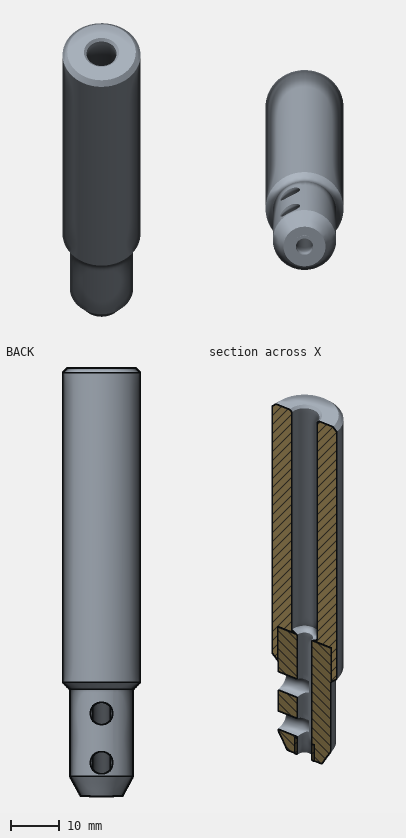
import cadquery as cq
import math

total_height = 88.0
shank_radius = 8.0
neck_radius = 6.5
top_chamfer = 1.0
neck_top = 22.0
taper_height = 4.1
tip_radius = 4.5
taper_bottom = 0.4
nose_bottom = 0.1
rim_chamfer = 0.2
shoulder_cone = shank_radius - neck_radius

socket_depth = 8.8
socket_top = neck_top + socket_depth

wide_bore_radius = 3.1
wide_bore_bottom = socket_top
narrow_bore_radius = 1.8
bore_chamfer = 0.5
drill_half_angle = math.radians(59)
drill_cone_height = (wide_bore_radius - narrow_bore_radius) / math.tan(drill_half_angle)

bush_radius = 2.4
bush_top = taper_height

side_hole_radius = 2.3
side_hole_heights = (6.95, 17.1)


def revolve_profile(points):
    """Revolve a closed outline of (radius, height) points about Z."""
    return cq.Workplane("XZ").polyline(points).close().revolve(360, (0, 0, 0), (0, 1, 0))


def make_axial_bore():
    """Through hole, widened from the top, with a drilled cone and a mouth chamfer."""
    return revolve_profile([
        (0, 0),
        (narrow_bore_radius, 0),
        (narrow_bore_radius, wide_bore_bottom),
        (wide_bore_radius, wide_bore_bottom + drill_cone_height),
        (wide_bore_radius, total_height - bore_chamfer),
        (wide_bore_radius + bore_chamfer, total_height),
        (0, total_height),
    ])


def make_shank():
    """Chamfered tube with a socket in its lower end for the nose."""
    outer = revolve_profile([
        (0, neck_top),
        (neck_radius, neck_top),
        (shank_radius, neck_top + shoulder_cone),
        (shank_radius, total_height - top_chamfer),
        (shank_radius - top_chamfer, total_height),
        (0, total_height),
    ])
    socket = cq.Workplane("XY").workplane(offset=neck_top).circle(neck_radius).extrude(socket_depth)
    return outer.cut(socket).cut(make_axial_bore())


def make_side_hole(height):
    """Radial hole from the +Y side of the neck into the axial bore."""
    start = cq.Vector(0, 0, height)
    outward = cq.Vector(0, 1, 0)
    return cq.Workplane(cq.Solid.makeCylinder(side_hole_radius, shank_radius, start, outward))


def make_nose():
    """Tapered nose that fills the socket, with the axial bore, side holes and bush seat."""
    nose = revolve_profile([
        (0, nose_bottom),
        (tip_radius - rim_chamfer, nose_bottom),
        (tip_radius, taper_bottom),
        (neck_radius, taper_height),
        (neck_radius, socket_top),
        (0, socket_top),
    ]).cut(make_axial_bore())
    for hole_height in side_hole_heights:
        nose = nose.cut(make_side_hole(hole_height))
    bush_seat = cq.Workplane("XY").circle(bush_radius).extrude(bush_top)
    return nose.cut(bush_seat)


def make_bush():
    """Short bush that carries the lower end of the axial bore."""
    return cq.Workplane("XY").circle(bush_radius).circle(narrow_bore_radius).extrude(bush_top)


shank = make_shank()
nose = make_nose()
bush = make_bush()

result = cq.Compound.makeCompound([shank.val(), nose.val(), bush.val()])